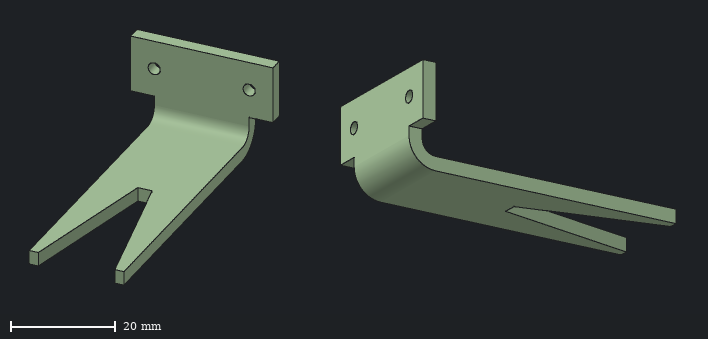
import cadquery as cq

length = 60.0
plate_width = 30.0
height = 20.0
thickness = 3.0

arm_width = 20.0
inner_radius = 3.0
outer_radius = inner_radius + thickness

plate_height = 12.0
hole_diameter = 2.5
hole_spacing = arm_width
hole_drop = plate_height / 2

slot_depth = 31.2
slot_root_width = 3.0
prong_tip_width = 2.0
slot_mouth_width = arm_width - 2 * prong_tip_width

back = length
plate_front = back - thickness


def bent_strip():
    """L-shaped strip with a concentric bend between the arm and the upright."""
    profile = (
        cq.Workplane("YZ")
        .moveTo(0, 0)
        .lineTo(back - outer_radius, 0)
        .radiusArc((back, outer_radius), -outer_radius)
        .lineTo(back, height)
        .lineTo(plate_front, height)
        .lineTo(plate_front, outer_radius)
        .radiusArc((back - outer_radius, thickness), inner_radius)
        .lineTo(0, thickness)
        .close()
    )
    return profile.extrude(arm_width / 2, both=True)


def mounting_plate():
    """Wide upper part of the upright."""
    return cq.Workplane("XY").box(
        plate_width, thickness, plate_height, centered=(True, False, False)
    ).translate((0, plate_front, height - plate_height))


def mounting_holes():
    """Pair of through holes at mid-height of the plate."""
    return (
        cq.Workplane("XZ", origin=(0, back, height - hole_drop))
        .pushPoints([(-hole_spacing / 2, 0), (hole_spacing / 2, 0)])
        .circle(hole_diameter / 2)
        .extrude(thickness)
    )


def fork_slot():
    """Slot that widens from a flat root to the prong tips."""
    return (
        cq.Workplane("XY")
        .polyline([
            (-slot_mouth_width / 2, 0),
            (slot_mouth_width / 2, 0),
            (slot_root_width / 2, slot_depth),
            (-slot_root_width / 2, slot_depth),
        ])
        .close()
        .extrude(thickness)
    )


result = bent_strip().union(mounting_plate()).cut(mounting_holes()).cut(fork_slot())